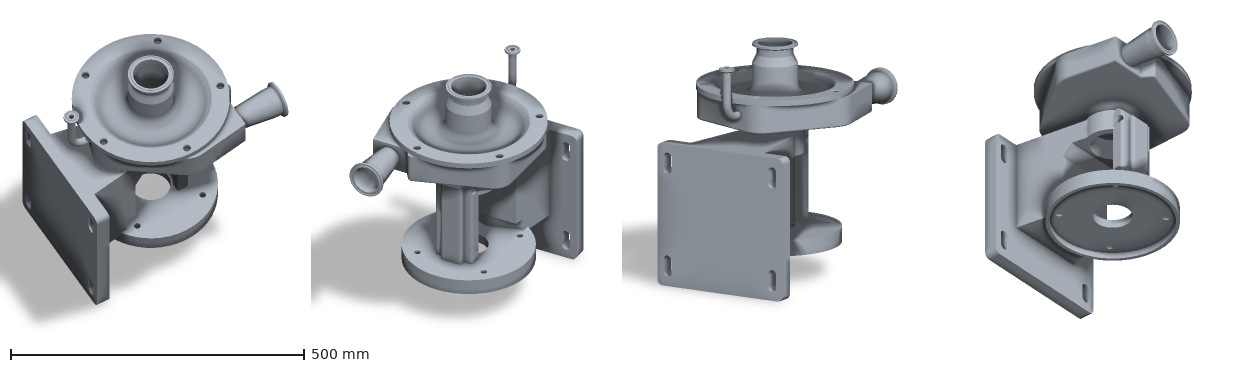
import cadquery as cq
import math


plate_size = 250.0
plate_thickness = 25.0
plate_corner_radius = 10.0
plate_back_y = -180.0
plate_front_y = plate_back_y + plate_thickness
slot_width = 16.0
slot_length = 37.0
slot_spacing_x = 209.5
slot_spacing_z = 180.5

motor_flange_bottom_z = 55.5
motor_flange_top_z = 83.5
motor_flange_radius = 114.5
motor_flange_hole_radius = 34.0
motor_bolt_count = 4
motor_bolt_circle_radius = 91.0
motor_bolt_hole_radius = 5.5
motor_register_radius = 108.0
motor_register_depth = 11.5

hub_bottom_z = 213.5
hub_top_z = 253.5
hub_radius = 51.0
hub_bore_radius = 38.5
hub_side_hole_radius = 7.5
hub_side_hole_z = 226.0

arm_bottom_z = 77.5
arm_front_y = -63.8
arm_half_width_at_plate = 73.5
arm_side_angle = 10.0
arm_haunch_drop = 20.0
arm_haunch_run = 18.5
notch_depth = 20.0
notch_height = 22.0

rib_front_y = 32.3
rib_shoulder_y = 55.0
rib_back_y = 65.0
rib_half_width = 36.5
rib_tail_half_width = 20.0
rib_shoulder_radius = 6.0
rib_tail_radius = 5.2
rib_chamfer_run = 20.5
rib_chamfer_drop = 17.0
rib_hole_radius = 7.3
rib_hole_y = 47.0
rib_hole_z = 230.0

casing_bottom_z = 273.5
cover_bottom_z = 324.0
casing_sides = 5
casing_apothem = 114.5
casing_corner_radius = 34.3
casing_tip_radius = 7.0
casing_bottom_fillet = 3.2
outlet_face_y = 115.5
outlet_corner_x = 123.0
outlet_side_angle = 10.0
outlet_side_radius = 44.5
neck_radius = 41.0
neck_flare_radius = 10.5

cover_top_z = 333.5
cover_radius = 134.8
cover_hole_circle_radius = 121.5
cover_hole_radius = 6.5
cover_hole_chamfer = 1.2
dish_radius = 107.0
dish_wall_top_radius = 103.0
dish_wall_bottom_radius = 94.0
dish_floor_radius = 83.0
dish_wall_angle = math.radians(44)
dish_rim_drop = (dish_radius - dish_wall_top_radius) * math.tan(dish_wall_angle / 2)
dish_floor_rise = (dish_wall_bottom_radius - dish_floor_radius) * math.tan(dish_wall_angle / 2)
dish_wall_drop = (dish_wall_top_radius - dish_wall_bottom_radius) * math.tan(dish_wall_angle)
dish_depth = dish_rim_drop + dish_wall_drop + dish_floor_rise
dish_floor_z = cover_top_z - dish_depth

inlet_end_z = 403.5
inlet_radius = 39.0
inlet_end_radius = 32.0
inlet_bore_radius = 30.3
inlet_cone_bottom_z = 369.0
inlet_cone_top_z = 384.5

outlet_x = 90.8
outlet_z = (casing_bottom_z + cover_bottom_z) / 2
outlet_end_y = 200.0
outlet_cone_start_y = 118.2
outlet_cone_end_y = 178.8
outlet_throat_radius = 17.5
outlet_cone_start_radius = 19.8
outlet_end_radius = 26.2
outlet_wall = 2.0

drain_y = -157.0
drain_z = 301.0
drain_end_z = 389.8
drain_radius = 7.0
drain_bore_radius = 4.5
drain_bend_radius = 28.2

ferrule_rim = 3.5
ferrule_length = 7.0
inlet_ferrule_radius = 39.0
outlet_ferrule_radius = 32.0
drain_ferrule_radius = 13.5
gasket_groove_radius = 1.5
gasket_groove_inset = 3.5


def cylinder(radius, bottom_z, top_z):
    return cq.Workplane("XY").workplane(offset=bottom_z).circle(radius).extrude(top_z - bottom_z)


def cross_hole(radius, y, z, start_x, length):
    """Cylinder running along +X."""
    return cq.Workplane("YZ", origin=(start_x, y, z)).circle(radius).extrude(length)


def revolve_profile(profile):
    """Revolve an X-Z half profile about Z."""
    return profile.close().revolve(360, (0, 0, 0), (0, 1, 0))


def on_outlet_axis(body):
    """Move a body built along Z to the outlet axis, along +Y."""
    return body.rotate((0, 0, 0), (1, 0, 0), -90).translate((outlet_x, 0, outlet_z))


def ferrule(radius, tube_radius, end_z):
    """Clamp ferrule: a rim with a conical back."""
    return revolve_profile(
        cq.Workplane("XZ")
        .moveTo(0, end_z)
        .lineTo(radius, end_z)
        .lineTo(radius, end_z - ferrule_rim)
        .lineTo(tube_radius, end_z - ferrule_length)
        .lineTo(0, end_z - ferrule_length)
    )


def gasket_groove(radius, end_z):
    """Half-round ring groove in the end face of a ferrule of the given radius."""
    return cq.Workplane("XY").add(
        cq.Solid.makeTorus(radius - gasket_groove_inset, gasket_groove_radius, cq.Vector(0, 0, end_z))
    )


def wall_plate():
    middle_z = plate_size / 2
    plate = (
        cq.Workplane("XZ", origin=(0, plate_front_y, middle_z))
        .rect(plate_size, plate_size)
        .extrude(plate_thickness)
        .edges("|Y")
        .fillet(plate_corner_radius)
    )
    slots = (
        cq.Workplane("XZ", origin=(0, plate_front_y, middle_z))
        .rect(slot_spacing_x, slot_spacing_z, forConstruction=True)
        .vertices()
        .slot2D(slot_length, slot_width, 90)
        .extrude(plate_thickness)
    )
    return plate.cut(slots)


def motor_flange():
    """Bolted disc with a centre opening and a shallow motor register underneath."""
    flange = cylinder(motor_flange_radius, motor_flange_bottom_z, motor_flange_top_z)
    opening = cylinder(motor_flange_hole_radius, motor_flange_bottom_z, motor_flange_top_z)
    bolt_holes = (
        cq.Workplane("XY")
        .workplane(offset=motor_flange_bottom_z)
        .polarArray(motor_bolt_circle_radius, 180 / motor_bolt_count, 360, motor_bolt_count)
        .circle(motor_bolt_hole_radius)
        .extrude(motor_flange_top_z - motor_flange_bottom_z)
    )
    register = cylinder(
        motor_register_radius,
        motor_flange_bottom_z,
        motor_flange_bottom_z + motor_register_depth,
    )
    return flange.cut(opening).cut(bolt_holes).cut(register)


def arm_half_width(y):
    return arm_half_width_at_plate - (y - plate_front_y) * math.tan(math.radians(arm_side_angle))


def bracket_arm():
    """Tapered in plan, L-shaped from the side, with a haunch in the inner corner."""
    hub_end_y = 0
    plan = (
        cq.Workplane("XY")
        .moveTo(-arm_half_width(plate_front_y), plate_front_y)
        .lineTo(arm_half_width(plate_front_y), plate_front_y)
        .lineTo(arm_half_width(hub_end_y), hub_end_y)
        .lineTo(-arm_half_width(hub_end_y), hub_end_y)
        .close()
        .extrude(plate_size)
    )
    side = (
        cq.Workplane("YZ")
        .moveTo(plate_front_y, plate_size)
        .lineTo(hub_end_y, plate_size)
        .lineTo(hub_end_y, hub_bottom_z)
        .lineTo(arm_front_y + arm_haunch_run, hub_bottom_z)
        .lineTo(arm_front_y, hub_bottom_z - arm_haunch_drop)
        .lineTo(arm_front_y, arm_bottom_z)
        .lineTo(plate_front_y, arm_bottom_z)
        .close()
        .extrude(plate_size / 2, both=True)
    )
    notch_y = arm_front_y - notch_depth
    notch_half_width = arm_half_width(notch_y)
    notches = (
        cq.Workplane("XY")
        .workplane(offset=motor_flange_top_z)
        .moveTo(0, arm_front_y)
        .lineTo(notch_half_width, notch_y)
        .lineTo(notch_half_width, hub_end_y)
        .lineTo(-notch_half_width, hub_end_y)
        .lineTo(-notch_half_width, notch_y)
        .close()
        .extrude(notch_height)
    )
    return plan.intersect(side).cut(notches)


def rear_rib():
    """T-shaped rib standing on the motor flange."""
    height = hub_top_z - motor_flange_top_z
    base = cq.Workplane("XY").workplane(offset=motor_flange_top_z)
    web = (
        base.moveTo(0, (rib_front_y + rib_shoulder_y) / 2)
        .rect(2 * rib_half_width, rib_shoulder_y - rib_front_y)
        .extrude(height)
        .edges("|Z and >Y")
        .fillet(rib_shoulder_radius)
    )
    tail = (
        base.moveTo(0, (rib_front_y + rib_back_y) / 2)
        .rect(2 * rib_tail_half_width, rib_back_y - rib_front_y)
        .extrude(height)
        .edges("|Z and >Y")
        .fillet(rib_tail_radius)
    )
    return web.union(tail)


def bracket():
    hub = cylinder(hub_radius, hub_bottom_z, hub_top_z)
    shaft_space = cylinder(hub_bore_radius, motor_flange_top_z, hub_top_z)
    side_hole = cross_hole(hub_side_hole_radius, 0, hub_side_hole_z, -hub_radius, hub_radius)
    slope = (
        cq.Workplane("YZ")
        .moveTo(rib_back_y, hub_top_z)
        .lineTo(rib_back_y - rib_chamfer_run, hub_top_z)
        .lineTo(rib_back_y, hub_top_z - rib_chamfer_drop)
        .close()
        .extrude(rib_half_width, both=True)
    )
    rib_hole = cross_hole(rib_hole_radius, rib_hole_y, rib_hole_z, -rib_half_width, 2 * rib_half_width)
    body = hub.union(bracket_arm()).union(rear_rib())
    body = body.cut(shaft_space).cut(slope).cut(side_hole).cut(rib_hole)
    return body.union(motor_flange()).union(wall_plate())


def casing():
    """Rounded pentagon, one corner of it on +X, with a tangential outlet block."""
    height = cover_bottom_z - casing_bottom_z
    corner_radius = casing_apothem / math.cos(math.pi / casing_sides)
    base = cq.Workplane("XY").workplane(offset=casing_bottom_z)

    def corner(index):
        angle = 2 * math.pi * index / casing_sides
        return (corner_radius * math.cos(angle), corner_radius * math.sin(angle))

    right_x, _ = corner(0)
    side_slope = math.tan(math.radians(outlet_side_angle))
    flat_slope = math.tan(math.pi / 2 - math.pi / casing_sides)
    side_end_y = (outlet_corner_x + side_slope * outlet_face_y - right_x) / (side_slope + 1 / flat_slope)
    side_end = (right_x + side_end_y / flat_slope, side_end_y)
    tip = corner(1)
    block_start_x = tip[0] + (tip[1] - outlet_face_y) * math.tan(math.pi / casing_sides)

    outline = [
        tip,
        corner(2),
        corner(3),
        corner(4),
        side_end,
        (outlet_corner_x, outlet_face_y),
        (block_start_x, outlet_face_y),
    ]
    body = base.polyline(outline).close().extrude(height)

    def round_corner(solid, point, radius):
        picker = cq.selectors.NearestToPointSelector((*point, casing_bottom_z + height / 2))
        return solid.edges(picker).fillet(radius)

    for index in (2, 3, 4):
        body = round_corner(body, corner(index), casing_corner_radius)
    body = round_corner(body, tip, casing_tip_radius)
    body = round_corner(body, side_end, outlet_side_radius)
    return body.faces("<Z").edges().fillet(casing_bottom_fillet)


def neck():
    """Round neck between the hub and the casing, flared where it meets the casing."""
    flare_outer_radius = neck_radius + neck_flare_radius
    flare_mid = neck_flare_radius * math.sqrt(0.5)
    return revolve_profile(
        cq.Workplane("XZ")
        .moveTo(0, hub_top_z)
        .lineTo(neck_radius, hub_top_z)
        .lineTo(neck_radius, casing_bottom_z - neck_flare_radius)
        .threePointArc(
            (flare_outer_radius - flare_mid, casing_bottom_z - neck_flare_radius + flare_mid),
            (flare_outer_radius, casing_bottom_z),
        )
        .lineTo(0, casing_bottom_z)
    )


def dish():
    """Ring recess in the cover, with a rounded rim, a conical wall and a flared centre."""
    half_angle = dish_wall_angle / 2
    rim_radius = (dish_radius - dish_wall_top_radius) / math.sin(dish_wall_angle)
    floor_radius = (dish_wall_bottom_radius - dish_floor_radius) / math.sin(dish_wall_angle)
    rim_mid_drop = rim_radius * (1 - math.cos(half_angle))
    floor_mid_rise = floor_radius * (1 - math.cos(half_angle))
    flare_outer_radius = inlet_radius + dish_depth
    flare_mid = dish_depth * math.sqrt(0.5)
    return revolve_profile(
        cq.Workplane("XZ")
        .moveTo(inlet_radius, cover_top_z)
        .threePointArc(
            (flare_outer_radius - flare_mid, cover_top_z - flare_mid),
            (flare_outer_radius, dish_floor_z),
        )
        .lineTo(dish_floor_radius, dish_floor_z)
        .threePointArc(
            (dish_floor_radius + floor_radius * math.sin(half_angle), dish_floor_z + floor_mid_rise),
            (dish_wall_bottom_radius, dish_floor_z + dish_floor_rise),
        )
        .lineTo(dish_wall_top_radius, cover_top_z - dish_rim_drop)
        .threePointArc(
            (dish_radius - rim_radius * math.sin(half_angle), cover_top_z - rim_mid_drop),
            (dish_radius, cover_top_z),
        )
    )


def cover():
    """Disc with chamfered screw holes, one at each casing corner."""
    disc = cylinder(cover_radius, cover_bottom_z, cover_top_z)
    hole = cylinder(cover_hole_radius, cover_bottom_z, cover_top_z)
    chamfer = cq.Workplane("XY").add(
        cq.Solid.makeCone(
            cover_hole_radius,
            cover_hole_radius + cover_hole_chamfer,
            cover_hole_chamfer,
            cq.Vector(0, 0, cover_top_z - cover_hole_chamfer),
        )
    )
    tool = hole.union(chamfer).translate((cover_hole_circle_radius, 0, 0))
    for index in range(casing_sides):
        disc = disc.cut(tool.rotate((0, 0, 0), (0, 0, 1), index * 360 / casing_sides))
    return disc


def inlet_tube():
    return revolve_profile(
        cq.Workplane("XZ")
        .moveTo(0, dish_floor_z)
        .lineTo(inlet_radius, dish_floor_z)
        .lineTo(inlet_radius, inlet_cone_bottom_z)
        .lineTo(inlet_end_radius, inlet_cone_top_z)
        .lineTo(inlet_end_radius, inlet_end_z)
        .lineTo(0, inlet_end_z)
    ).union(ferrule(inlet_ferrule_radius, inlet_end_radius, inlet_end_z))


def inlet_bore():
    bore = cylinder(inlet_bore_radius, dish_floor_z, inlet_end_z)
    return bore.union(gasket_groove(inlet_ferrule_radius, inlet_end_z))


def outlet_tube():
    tube = revolve_profile(
        cq.Workplane("XZ")
        .moveTo(0, outlet_face_y)
        .lineTo(outlet_throat_radius, outlet_face_y)
        .lineTo(outlet_throat_radius, outlet_cone_start_y)
        .lineTo(outlet_cone_start_radius, outlet_cone_start_y)
        .lineTo(outlet_end_radius, outlet_cone_end_y)
        .lineTo(outlet_end_radius, outlet_end_y)
        .lineTo(0, outlet_end_y)
    )
    return on_outlet_axis(tube.union(ferrule(outlet_ferrule_radius, outlet_end_radius, outlet_end_y)))


def outlet_bore():
    bore_radius = outlet_end_radius - outlet_wall
    bore = revolve_profile(
        cq.Workplane("XZ")
        .moveTo(0, outlet_face_y)
        .lineTo(outlet_throat_radius - outlet_wall, outlet_face_y)
        .lineTo(bore_radius, outlet_cone_end_y)
        .lineTo(bore_radius, outlet_end_y)
        .lineTo(0, outlet_end_y)
    )
    groove = gasket_groove(outlet_ferrule_radius, outlet_end_y)
    return on_outlet_axis(bore.union(groove))


def drain_sweep(radius, start_y):
    """Rod that leaves the casing along -Y and bends up to the drain end."""
    bend_mid = drain_bend_radius * math.sqrt(0.5)
    bend_start_y = drain_y + drain_bend_radius
    bend_end_z = drain_z + drain_bend_radius
    path = (
        cq.Workplane("YZ")
        .moveTo(start_y, drain_z)
        .lineTo(bend_start_y, drain_z)
        .threePointArc(
            (bend_start_y - bend_mid, bend_end_z - bend_mid),
            (drain_y, bend_end_z),
        )
        .lineTo(drain_y, drain_end_z)
    )
    return cq.Workplane("XZ", origin=(0, start_y, drain_z)).circle(radius).sweep(path)


def drain_tube():
    end = ferrule(drain_ferrule_radius, drain_radius, drain_end_z).translate((0, drain_y, 0))
    return drain_sweep(drain_radius, -casing_apothem).union(end)


def drain_bore():
    groove = gasket_groove(drain_ferrule_radius, drain_end_z)
    return drain_sweep(drain_bore_radius, -casing_apothem).union(groove.translate((0, drain_y, 0)))


pump = casing().union(cover()).cut(dish()).union(neck()).union(inlet_tube())
pump = pump.union(outlet_tube()).union(drain_tube())
pump = pump.cut(inlet_bore()).cut(outlet_bore()).cut(drain_bore())

result = pump.union(bracket())